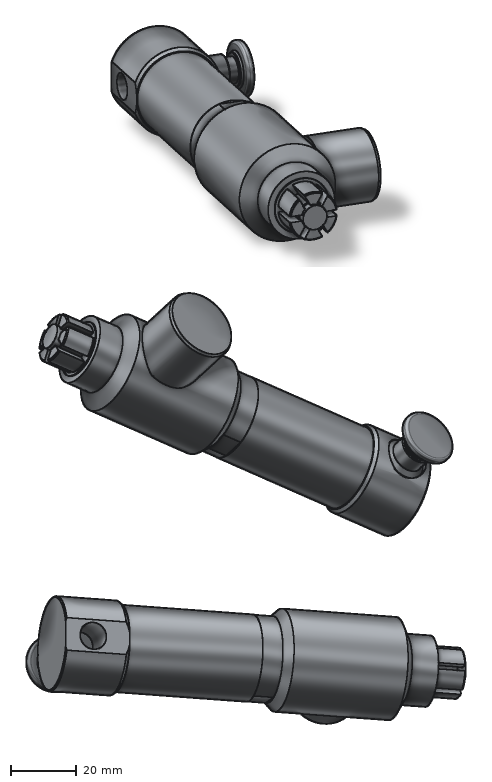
import cadquery as cq
import math


HEAD_DIAMETER = 29.2
HEAD_END = 20.7
HEAD_FRONT_CHAMFER = 0.4
HEAD_REAR_DIAMETER = 27.5
HEAD_REAR_CHAMFER = 1.2
HEAD_FLAT_DISTANCE = 13.7
CROSS_HOLE_DIAMETER = 8.4
DISC_DIAMETER = 17.8
CROSS_AXIS_X = DISC_DIAMETER / 2

TUBE_DIAMETER = 26.9
TUBE_END = 63.5
NECK_DIAMETER = 26.7
NECK_END = 69.9
WRENCH_FLAT_DISTANCE = 12.8

BARREL_DIAMETER = 31.7
BARREL_START_CONE_LENGTH = 2.8
BARREL_END_CONE_LENGTH = 2.9
BARREL_END = 112.2

OVERALL_WIDTH = 47.3
PORT_DIAMETER = 22.9
PORT_MOUTH_DIAMETER = 22.0
PORT_MOUTH_TAPER = 0.9
PORT_X = 96.9
PORT_BASE_Y = 12.2
PORT_END_Y = OVERALL_WIDTH - BARREL_DIAMETER / 2

COLLAR_DIAMETER = 22.0
COLLAR_END = 120.6
WASHER_DIAMETER = 17.8
WASHER_END = 121.0
SPIGOT_DIAMETER = 15.8
SPIGOT_END = 130.5
SPIGOT_CHAMFER = 0.4
TIP_DIAMETER = 7.9
TIP_END = 131.7
SLOT_COUNT = 6
SLOT_WIDTH = 2.0
SLOT_FLOOR_DIAMETER = 8.7
SLOT_FLOOR_END = 129.0

RECESS_DIAMETER = 13.8
SEAT_DIAMETER = 13.7
SEAT_Y = 10.5
FITTING_COLLAR_DIAMETER = 10.7
FITTING_COLLAR_START_Y = 14.6
FITTING_COLLAR_END_Y = 20.0
FITTING_COLLAR_CHAMFER = 0.4
FITTING_NECK_DIAMETER = 8.4
FITTING_NECK_END_Y = 23.0
FLANGE_DIAMETER = 10.7
FLANGE_RIM = 0.4
FLANGE_BASE_DIAMETER = 11.9
DISC_START_Y = 24.1
DISC_END_Y = 26.7
DISC_EDGE_RADIUS = 0.9


def cylinder_along_y(x, diameter, start_y, end_y):
    """Round bar along Y between two heights, centred on (x, 0) in X and Z."""
    return cq.Workplane(cq.Solid.makeCylinder(
        diameter / 2, end_y - start_y, cq.Vector(x, start_y, 0), cq.Vector(0, 1, 0)))


def turned_along_x():
    """Head, tube, barrel, collar, washer, spigot and tip as one turned shape."""
    profile = [
        (0, 0),
        (0, HEAD_DIAMETER / 2 - HEAD_FRONT_CHAMFER),
        (HEAD_FRONT_CHAMFER, HEAD_DIAMETER / 2),
        (HEAD_END - HEAD_REAR_CHAMFER, HEAD_DIAMETER / 2),
        (HEAD_END, HEAD_REAR_DIAMETER / 2),
        (HEAD_END, TUBE_DIAMETER / 2),
        (TUBE_END, TUBE_DIAMETER / 2),
        (TUBE_END, NECK_DIAMETER / 2),
        (NECK_END, NECK_DIAMETER / 2),
        (NECK_END + BARREL_START_CONE_LENGTH, BARREL_DIAMETER / 2),
        (BARREL_END - BARREL_END_CONE_LENGTH, BARREL_DIAMETER / 2),
        (BARREL_END, COLLAR_DIAMETER / 2),
        (COLLAR_END, COLLAR_DIAMETER / 2),
        (COLLAR_END, WASHER_DIAMETER / 2),
        (WASHER_END, WASHER_DIAMETER / 2),
        (WASHER_END, SPIGOT_DIAMETER / 2),
        (SPIGOT_END - SPIGOT_CHAMFER, SPIGOT_DIAMETER / 2),
        (SPIGOT_END, SPIGOT_DIAMETER / 2 - SPIGOT_CHAMFER),
        (SPIGOT_END, TIP_DIAMETER / 2),
        (TIP_END, TIP_DIAMETER / 2),
        (TIP_END, 0),
    ]
    return cq.Workplane("XY").polyline(profile).close().revolve(360, (0, 0, 0), (1, 0, 0))


def side_port():
    """Port on the barrel, flat underneath and slightly tapered at its mouth."""
    taper_start = PORT_END_Y - PORT_MOUTH_TAPER
    profile = [
        (PORT_X, PORT_BASE_Y),
        (PORT_X + PORT_DIAMETER / 2, PORT_BASE_Y),
        (PORT_X + PORT_DIAMETER / 2, taper_start),
        (PORT_X + PORT_MOUTH_DIAMETER / 2, PORT_END_Y),
        (PORT_X, PORT_END_Y),
    ]
    return cq.Workplane("XY").polyline(profile).close().revolve(360, (PORT_X, 0, 0), (PORT_X, 1, 0))


def head_flat():
    """Material beyond the flat on the -Y side of the head."""
    depth = HEAD_DIAMETER / 2 - HEAD_FLAT_DISTANCE
    return cq.Workplane("XY").box(HEAD_END, depth, HEAD_DIAMETER).translate(
        (HEAD_END / 2, -HEAD_FLAT_DISTANCE - depth / 2, 0))


def wrench_flat(side):
    """Material beyond one wrench flat; side is +1 for the top and -1 for the bottom."""
    length = NECK_END - TUBE_END
    depth = TUBE_DIAMETER / 2 - WRENCH_FLAT_DISTANCE
    return cq.Workplane("XY").box(length, TUBE_DIAMETER, depth).translate(
        (TUBE_END + length / 2, 0, side * (WRENCH_FLAT_DISTANCE + depth / 2)))


def rod_from_washer(diameter, end_x):
    """Round rod on the X axis, from the washer to end_x."""
    return cq.Workplane("YZ", origin=(WASHER_END, 0, 0)).circle(diameter / 2).extrude(end_x - WASHER_END)


def spigot_slots():
    """Lengthwise slots around the spigot, cut down to a round core and its thinner tip."""
    length = SPIGOT_END - WASHER_END
    blade = (
        cq.Workplane("XY", origin=(WASHER_END, 0, 0))
        .box(length, SPIGOT_DIAMETER / 2, SLOT_WIDTH, centered=(False, False, True))
    )
    slots = blade
    for index in range(1, SLOT_COUNT):
        slots = slots.union(blade.rotate((0, 0, 0), (1, 0, 0), index * 360 / SLOT_COUNT))
    core = rod_from_washer(SLOT_FLOOR_DIAMETER, SLOT_FLOOR_END)
    return slots.cut(core).cut(rod_from_washer(TIP_DIAMETER, SPIGOT_END))


def make_housing():
    """Turned housing with its side port, flats, cross hole, fitting recess and slots."""
    cross_hole = cylinder_along_y(CROSS_AXIS_X, CROSS_HOLE_DIAMETER, -HEAD_DIAMETER / 2, 0)
    fitting_recess = cylinder_along_y(CROSS_AXIS_X, RECESS_DIAMETER, SEAT_Y, HEAD_DIAMETER / 2)
    housing = turned_along_x().union(side_port()).cut(head_flat())
    for side in (1, -1):
        housing = housing.cut(wrench_flat(side))
    return housing.cut(cross_hole).cut(fitting_recess).cut(spigot_slots())


def make_fitting():
    """Turned fitting: seat, coned shoulder, collar, neck, coned flange and rounded disc."""
    seat_cone_height = (SEAT_DIAMETER - FITTING_COLLAR_DIAMETER) / 2
    disc_radius = DISC_DIAMETER / 2
    corner_inset = DISC_EDGE_RADIUS * (1 - math.sqrt(0.5))

    def at(radius, y):
        return (CROSS_AXIS_X + radius, y)

    profile = (
        cq.Workplane("XY")
        .moveTo(*at(0, SEAT_Y))
        .lineTo(*at(SEAT_DIAMETER / 2, SEAT_Y))
        .lineTo(*at(SEAT_DIAMETER / 2, FITTING_COLLAR_START_Y - seat_cone_height))
        .lineTo(*at(FITTING_COLLAR_DIAMETER / 2, FITTING_COLLAR_START_Y))
        .lineTo(*at(FITTING_COLLAR_DIAMETER / 2, FITTING_COLLAR_END_Y - FITTING_COLLAR_CHAMFER))
        .lineTo(*at(FITTING_COLLAR_DIAMETER / 2 - FITTING_COLLAR_CHAMFER, FITTING_COLLAR_END_Y))
        .lineTo(*at(FITTING_NECK_DIAMETER / 2, FITTING_COLLAR_END_Y))
        .lineTo(*at(FITTING_NECK_DIAMETER / 2, FITTING_NECK_END_Y))
        .lineTo(*at(FLANGE_DIAMETER / 2, FITTING_NECK_END_Y))
        .lineTo(*at(FLANGE_DIAMETER / 2, FITTING_NECK_END_Y + FLANGE_RIM))
        .lineTo(*at(FLANGE_BASE_DIAMETER / 2, DISC_START_Y))
        .lineTo(*at(disc_radius - DISC_EDGE_RADIUS, DISC_START_Y))
        .threePointArc(at(disc_radius - corner_inset, DISC_START_Y + corner_inset),
                       at(disc_radius, DISC_START_Y + DISC_EDGE_RADIUS))
        .lineTo(*at(disc_radius, DISC_END_Y - DISC_EDGE_RADIUS))
        .threePointArc(at(disc_radius - corner_inset, DISC_END_Y - corner_inset),
                       at(disc_radius - DISC_EDGE_RADIUS, DISC_END_Y))
        .lineTo(*at(0, DISC_END_Y))
        .close()
    )
    return profile.revolve(360, (CROSS_AXIS_X, 0, 0), (CROSS_AXIS_X, 1, 0))


housing = make_housing()
fitting = make_fitting()
result = cq.Compound.makeCompound([housing.val(), fitting.val()])